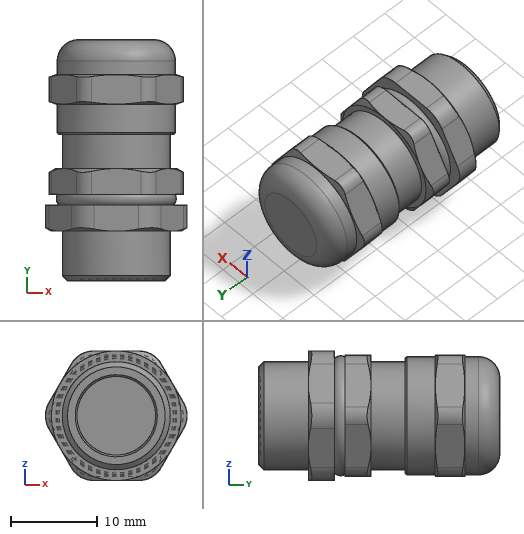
import cadquery as cq
import math

OVERALL_LENGTH = 27.91
END_STATION = -OVERALL_LENGTH / 2

BODY_DIAMETER = 12.5
THREAD_CHAMFER = 0.6
RECESS_MOUTH_DIAMETER = 9.5
RECESS_FLOOR_DIAMETER = 9.1
RECESS_DEPTH = 0.2

HEX_SIDES = 6
HEX_CHAMFER_ANGLE = 30
CAP_HEX_CHAMFER_ANGLE = 20
FLANGE_START = 5.75
FLANGE_THICKNESS = 3.0
FLANGE_FLATS = 15.0
FLANGE_CORNER_RADIUS = 3.0
NUT_FLATS = 14.0
NUT_CORNER_RADIUS = 2.0
BODY_NUT_THICKNESS = 3.0
CAP_NUT_THICKNESS = 3.5

RING_DIAMETER = 13.9
RING_THICKNESS = 1.25
RING_RIM_RADIUS = 1.0
RING_CREST_OFFSET = 0.75

CAP_DIAMETER = 13.7
CAP_START = 16.94
CAP_NUT_START = 20.4
CAP_EDGE_CHAMFER = 0.2
DOME_RADIUS = 2.5

ring_start = FLANGE_START + FLANGE_THICKNESS
body_nut_start = ring_start + RING_THICKNESS


def section_plane(station):
    """Plane across the axis at a station, with its normal along +Y."""
    origin = (0, END_STATION + station, 0)
    return cq.Workplane(cq.Plane(origin=origin, xDir=(1, 0, 0), normal=(0, 1, 0)))


def cylinder(start, length, diameter):
    """Solid cylinder on the gland axis."""
    return section_plane(start).circle(diameter / 2).extrude(length)


def hexagon(start, thickness, flats, corner_radius, face_diameter, angle, chamfer_low, chamfer_high):
    """Rounded hexagon with corners on +X and -X and conical chamfers on the chosen faces."""
    corner_diameter = flats / math.cos(math.pi / HEX_SIDES)
    prism = section_plane(start).polygon(HEX_SIDES, corner_diameter).extrude(thickness)
    prism = prism.edges("|Y").fillet(corner_radius)

    face_radius = face_diameter / 2
    envelope_radius = corner_diameter / 2
    cone_height = (envelope_radius - face_radius) * math.tan(math.radians(angle))
    low_radius = face_radius if chamfer_low else envelope_radius
    high_radius = face_radius if chamfer_high else envelope_radius
    low = END_STATION + start
    high = low + thickness
    profile = cq.Workplane("XY").moveTo(0, low).lineTo(low_radius, low)
    if chamfer_low:
        profile = profile.lineTo(envelope_radius, low + cone_height)
    if chamfer_high:
        profile = profile.lineTo(envelope_radius, high - cone_height)
    profile = profile.lineTo(high_radius, high).lineTo(0, high).close()
    envelope = profile.revolve(360, (0, 0, 0), (0, 1, 0))
    return prism.intersect(envelope)


def body():
    """Chamfered shaft that runs on inside the cap as far as the cap hexagon."""
    shaft = cylinder(0, CAP_NUT_START, BODY_DIAMETER)
    return shaft.faces("<Y").edges().chamfer(THREAD_CHAMFER)


def end_recess():
    """Shallow tapered recess in the thread end."""
    mouth = section_plane(0).circle(RECESS_MOUTH_DIAMETER / 2)
    return mouth.workplane(offset=RECESS_DEPTH).circle(RECESS_FLOOR_DIAMETER / 2).loft()


def sealing_ring():
    """Disc with a rounded rim, trimmed from an O-ring whose crest lies nearer the body nut."""

    def rim_point(height):
        """Rim point at a height above the flange."""
        inset = RING_RIM_RADIUS - math.sqrt(RING_RIM_RADIUS**2 - (height - RING_CREST_OFFSET) ** 2)
        return (RING_DIAMETER / 2 - inset, low + height)

    low = END_STATION + ring_start
    profile = (
        cq.Workplane("XY")
        .moveTo(0, low)
        .lineTo(*rim_point(0))
        .threePointArc(rim_point(RING_CREST_OFFSET), rim_point(RING_THICKNESS))
        .lineTo(0, low + RING_THICKNESS)
        .close()
    )
    return profile.revolve(360, (0, 0, 0), (0, 1, 0))


def cap():
    """Cylinder domed at the far end and lightly chamfered where it meets the body."""
    dome = cylinder(CAP_START, OVERALL_LENGTH - CAP_START, CAP_DIAMETER)
    dome = dome.faces(">Y").edges().fillet(DOME_RADIUS)
    return dome.faces("<Y").edges().chamfer(CAP_EDGE_CHAMFER)


flange = hexagon(
    FLANGE_START,
    FLANGE_THICKNESS,
    FLANGE_FLATS,
    FLANGE_CORNER_RADIUS,
    face_diameter=FLANGE_FLATS,
    angle=HEX_CHAMFER_ANGLE,
    chamfer_low=True,
    chamfer_high=False,
)
body_nut = hexagon(
    body_nut_start,
    BODY_NUT_THICKNESS,
    NUT_FLATS,
    NUT_CORNER_RADIUS,
    face_diameter=NUT_FLATS,
    angle=HEX_CHAMFER_ANGLE,
    chamfer_low=False,
    chamfer_high=True,
)
cap_nut = hexagon(
    CAP_NUT_START,
    CAP_NUT_THICKNESS,
    NUT_FLATS,
    NUT_CORNER_RADIUS,
    face_diameter=CAP_DIAMETER,
    angle=CAP_HEX_CHAMFER_ANGLE,
    chamfer_low=True,
    chamfer_high=True,
)

result = body().cut(end_recess())
for section in (flange, sealing_ring(), body_nut, cap(), cap_nut):
    result = result.union(section)